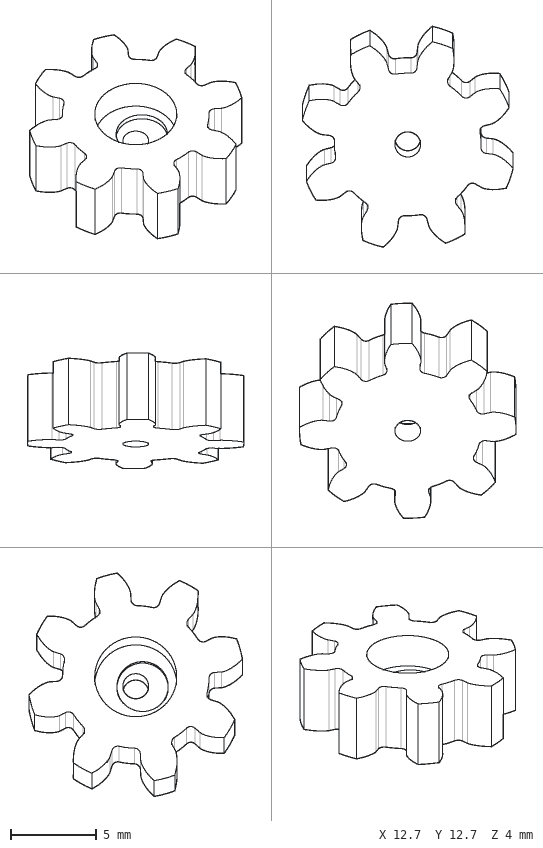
import cadquery as cq
import math

tooth_count = 8
thickness = 4.0
tip_radius = 6.34
root_radius = 4.29
base_radius = 5.03
base_half_angle = 12.15
root_fillet_radius = 0.35
first_tooth_angle = -6.3
tooth_pitch = 360 / tooth_count
flank_steps = 6

shaft_hole_diameter = 1.5
counterbore_diameter = 4.8
counterbore_depth = 2.0
pocket_diameter = 3.0
pocket_depth = 0.35
pocket_center = (0.25, 0.33)


def polar(radius, angle):
    """Point at a radius and an angle in degrees."""
    return (radius * math.cos(math.radians(angle)), radius * math.sin(math.radians(angle)))


def flank_half_angle(radius):
    """Half a tooth's width, in degrees, on the involute at a radius."""
    pressure_angle = math.acos(base_radius / radius)
    involute = math.tan(pressure_angle) - pressure_angle
    return base_half_angle - math.degrees(involute)


def flank_points():
    """Points of the upper flank from base circle to tip, tooth centred on +X."""
    tip_roll = math.sqrt((tip_radius / base_radius) ** 2 - 1)
    points = []
    for step in range(flank_steps + 1):
        roll = tip_roll * step / flank_steps
        radius = base_radius * math.sqrt(1 + roll ** 2)
        points.append(polar(radius, flank_half_angle(radius)))
    return points


def make_tooth(center_angle):
    """One tooth with involute flanks, radial necks and filleted roots."""
    fillet_center_radius = root_radius + root_fillet_radius
    fillet_span = math.degrees(math.asin(root_fillet_radius / fillet_center_radius))
    fillet_center_angle = base_half_angle + fillet_span
    neck_radius = fillet_center_radius * math.cos(math.radians(fillet_span))
    mid_direction = fillet_center_angle + 180 + (90 - fillet_span) / 2
    center_x, center_y = polar(fillet_center_radius, fillet_center_angle)
    mid_x, mid_y = polar(root_fillet_radius, mid_direction)
    fillet_mid = (center_x + mid_x, center_y + mid_y)

    def mirrored(point):
        return (point[0], -point[1])

    upper_flank = flank_points()
    lower_flank = [mirrored(point) for point in upper_flank]
    root_point = polar(root_radius, fillet_center_angle)
    neck_point = polar(neck_radius, base_half_angle)

    tooth = (
        cq.Workplane("XY")
        .moveTo(0, 0)
        .lineTo(*mirrored(root_point))
        .threePointArc(mirrored(fillet_mid), mirrored(neck_point))
        .lineTo(*lower_flank[0])
        .spline(lower_flank[1:], includeCurrent=True)
        .threePointArc((tip_radius, 0), upper_flank[-1])
        .spline(upper_flank[-2::-1], includeCurrent=True)
        .lineTo(*neck_point)
        .threePointArc(fillet_mid, root_point)
        .close()
        .extrude(thickness)
    )
    return tooth.rotate((0, 0, 0), (0, 0, 1), center_angle)


def make_gear_body():
    body = cq.Workplane("XY").circle(root_radius).extrude(thickness)
    for index in range(tooth_count):
        body = body.union(make_tooth(first_tooth_angle + index * tooth_pitch))
    return body


def cut_bore(body):
    """Through hole and coaxial counterbore, with an off-axis pocket in the counterbore floor."""
    counterbore_floor = thickness - counterbore_depth
    pocket_floor = counterbore_floor - pocket_depth
    shaft_hole = cq.Workplane("XY").circle(shaft_hole_diameter / 2).extrude(thickness)
    counterbore = (
        cq.Workplane("XY", origin=(0, 0, counterbore_floor))
        .circle(counterbore_diameter / 2)
        .extrude(counterbore_depth)
    )
    pocket = (
        cq.Workplane("XY", origin=(0, 0, pocket_floor))
        .center(*pocket_center)
        .circle(pocket_diameter / 2)
        .extrude(pocket_depth)
    )
    return body.cut(shaft_hole).cut(counterbore).cut(pocket)


result = cut_bore(make_gear_body())